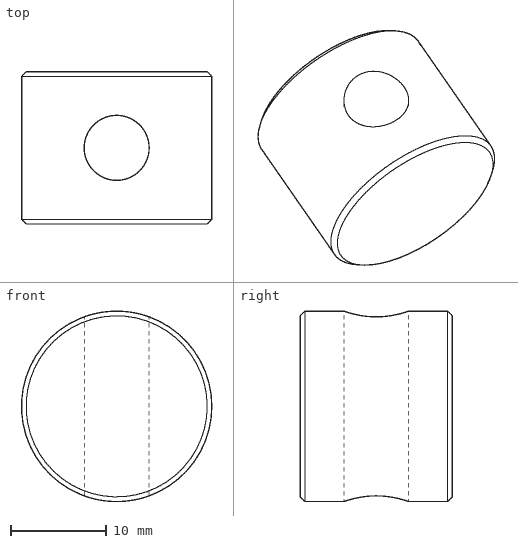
import cadquery as cq

body_diameter = 20
body_length = 16
end_chamfer = 0.5
cross_hole_diameter = 6.8

body = (
    cq.Workplane("XZ")
    .cylinder(body_length, body_diameter / 2)
    .edges("%CIRCLE")
    .chamfer(end_chamfer)
)

cross_hole = (
    cq.Workplane("XY")
    .cylinder(body_diameter, cross_hole_diameter / 2)
)

result = body.cut(cross_hole)